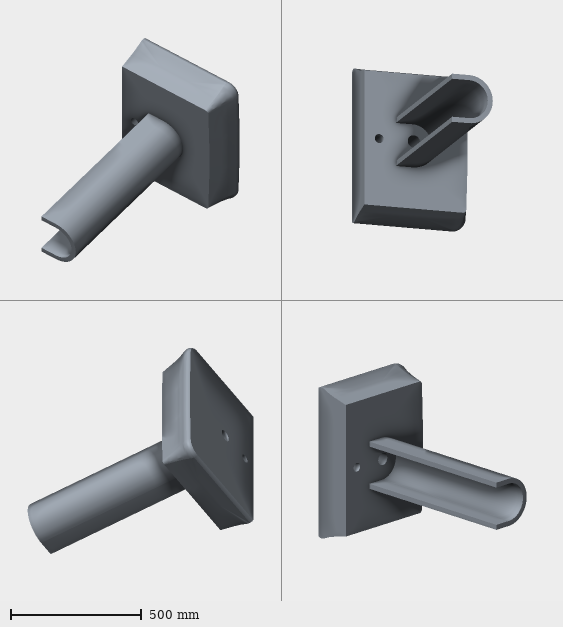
import cadquery as cq
import math

overall_length = 840.0
panel_width = 455.0
panel_height = 611.0
panel_depth = 149.5

flare = 39.5
back_flare = 33.0
lip_depth = 15.0
upper_flare_depth = 39.0
upper_flare = 33.0
lower_flare_depth = 79.0
lower_flare = 18.0

face_width = panel_width - flare
face_half_height = panel_height / 2 - flare
corner_radius = 13.5
side_bow_radius = 5796.0

small_hole_diameter = 35.0
small_hole_x = 60.0
large_hole_diameter = 49.0
large_hole_x = 199.0

channel_height = 191.0
channel_wall = 20.0
channel_open_x = 127.0
channel_bend_x = 195.0
channel_z = -7.5
channel_length = overall_length - panel_depth

front_y = -panel_depth


def front_workplane():
    """XZ plane at the front face: local y is Z and the normal points to -Y."""
    return cq.Workplane("XZ", origin=(0, front_y, 0))


def trace_face_edge(workplane):
    """Draw the upper edge, bowed side and lower edge with tangent corner arcs."""
    bow_center_x = face_width - side_bow_radius
    corner_z = face_half_height - corner_radius
    angle = math.asin(corner_z / (side_bow_radius - corner_radius))
    corner_x = bow_center_x + (side_bow_radius - corner_radius) * math.cos(angle)
    bow_end_x = corner_x + corner_radius * math.cos(angle)
    bow_end_z = corner_z + corner_radius * math.sin(angle)
    middle_angle = (angle + math.pi / 2) / 2
    corner_mid_x = corner_x + corner_radius * math.cos(middle_angle)
    corner_mid_z = corner_z + corner_radius * math.sin(middle_angle)
    return (
        workplane.moveTo(0, face_half_height)
        .lineTo(corner_x, face_half_height)
        .threePointArc((corner_mid_x, corner_mid_z), (bow_end_x, bow_end_z))
        .threePointArc((face_width, 0), (bow_end_x, -bow_end_z))
        .threePointArc((corner_mid_x, -corner_mid_z), (corner_x, -face_half_height))
        .lineTo(0, -face_half_height)
    )


def make_core():
    """Straight block behind the front face."""
    return trace_face_edge(front_workplane()).close().extrude(-panel_depth)


def make_rim():
    """Flared section swept along the upper, side and lower edges."""
    path = trace_face_edge(front_workplane()).wire()
    section = (
        cq.Workplane("YZ", origin=(0, 0, face_half_height))
        .moveTo(front_y, 0)
        .spline(
            [(-lower_flare_depth, lower_flare), (-upper_flare_depth, upper_flare), (-lip_depth, flare)],
            tangents=[(panel_depth, flare), (1, 0)],
            includeCurrent=True,
        )
        .tangentArcPoint((0, back_flare), relative=False)
        .lineTo(0, 0)
        .close()
    )
    return section.sweep(path)


def make_hole(x, diameter):
    return front_workplane().center(x, 0).circle(diameter / 2).extrude(-panel_depth)


def make_panel():
    panel = make_core().union(make_rim())
    panel = panel.cut(make_hole(small_hole_x, small_hole_diameter))
    return panel.cut(make_hole(large_hole_x, large_hole_diameter))


def make_channel():
    """U-shaped channel, open toward -X, standing on the panel's front face."""
    outer_radius = channel_height / 2
    inner_radius = outer_radius - channel_wall
    return (
        front_workplane()
        .center(channel_bend_x, channel_z)
        .moveTo(channel_open_x - channel_bend_x, outer_radius)
        .lineTo(0, outer_radius)
        .threePointArc((outer_radius, 0), (0, -outer_radius))
        .lineTo(channel_open_x - channel_bend_x, -outer_radius)
        .lineTo(channel_open_x - channel_bend_x, -inner_radius)
        .lineTo(0, -inner_radius)
        .threePointArc((inner_radius, 0), (0, inner_radius))
        .lineTo(channel_open_x - channel_bend_x, inner_radius)
        .close()
        .extrude(channel_length)
    )


panel = make_panel()
channel = make_channel()
result = cq.Compound.makeCompound([panel.solids().val(), channel.val()])